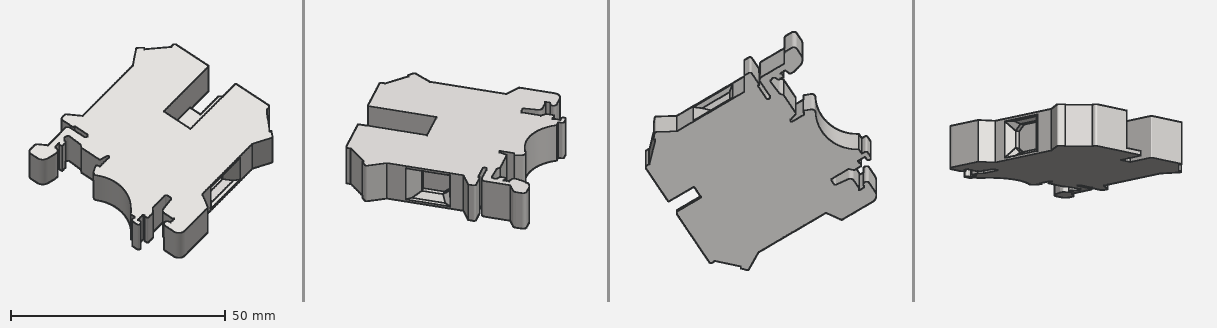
import cadquery as cq
import math

WIDTH = 42.8
HEIGHT = 46.0
THICKNESS = 10.0
CENTRE_X = WIDTH / 2
EDGE_ROUND = 0.25

BODY_HALF = 17.95
BODY_TOP = 34.9
BODY_BOTTOM = 16.35
SHOULDER_Y = 14.15
HEAD_HALF = 14.4
HEAD_ROUND = 0.55
HEAD_LIP_Y = 44.85
SLOPE_TOP = (14.3, 44.75)
SLOPE_LENGTH = 4.45
EAR_STEP = 0.3
EAR_HALF = 20.5
EAR_Y = 39.38
EAR_ROUND = 0.45
EAR_TIP_ROUND = 0.15

SLOT_LIP_X = 3.85
SLOT_LIP_Y = 12.37
SLOT_END_X = 8.0
SLOT_TOP = 12.85
SLOT_BOTTOM = 11.8
SLOT_ROUND = 0.45
LEG_X = 2.45
FOOT_BOTTOM = 0.2
RAIL_SEAT_Y = 6.5
GROOVE_DEPTH = 0.3
GROOVE_WIDTH = 0.28
LEFT_GROOVE_X = 4.05
RIGHT_GROOVE_X = 38.65
WEB_Y = 8.95
RIB_LEFT = 15.75
RIB_RIGHT = 32.8
TOE_LEFT = 31.2
TOE_RIGHT = 33.5
TOE_TOP = 1.15
TOE_STEP_Y = 1.35
TOE_ROUND = 0.55
RIGHT_FOOT_Y = 3.75
RIGHT_FOOT_ROUND = 1.85

ARCH_RADIUS = 9.65
ARCH_X = 21.5
ARCH_TOP = 6.25
ARCH_START = (16.2, 3.7)
ARCH_TIP = (15.85, 4.5, THICKNESS / 2)
ARCH_TIP_ROUND = 0.9

POCKET_WIDTH = 8.0
POCKET_LEFT = CENTRE_X - POCKET_WIDTH / 2
POCKET_RIGHT = CENTRE_X + POCKET_WIDTH / 2
POCKET_END_Y = 29.2
POCKET_FLOOR = 1.0
NOTCH_RIGHT = 20.5
NOTCH_END_Y = 38.95
NOTCH_ROUND = 0.6

MOUTH_Y = (19.5, 30.4)
MOUTH_WALL = 0.65
MOUTH_Z = (MOUTH_WALL, THICKNESS - MOUTH_WALL)
THROAT_Y = (20.42, 27.2)
THROAT_Z = (1.95, 8.75)
THROAT_CHAMFER_Y = 1.6
THROAT_CHAMFER_Z = 1.4
FUNNEL_Z = (-0.2, 9.95)
FUNNEL_CHAMFER_Y = 0.9
FUNNEL_DEPTH = 2.65
ENTRY_DEPTH = 3.8


def rounded_outline(corners):
    """Closed wire through (x, y, radius) corners; a radius of 0 keeps the corner sharp."""
    count = len(corners)
    wire = None
    for i, (x, y, radius) in enumerate(corners):
        before = cq.Vector(*corners[i - 1][:2])
        after = cq.Vector(*corners[(i + 1) % count][:2])
        corner = cq.Vector(x, y)
        to_before = (before - corner).normalized()
        to_after = (after - corner).normalized()
        half_angle = to_before.getAngle(to_after) / 2
        setback = radius / math.tan(half_angle)
        start = corner + to_before * setback
        if wire is None:
            wire = cq.Workplane("XY").moveTo(start.x, start.y)
        else:
            wire = wire.lineTo(start.x, start.y)
        if radius > 0:
            end = corner + to_after * setback
            bisector = (to_before + to_after).normalized()
            middle = corner + bisector * (radius / math.sin(half_angle) - radius)
            wire = wire.threePointArc((middle.x, middle.y), (end.x, end.y))
    return wire.close()


def flank(side):
    """Corners of one side of the upper body from the head down; side is -1 or +1."""
    slope_x, slope_y = SLOPE_TOP
    run = SLOPE_LENGTH
    half_outline = [
        (HEAD_HALF, HEIGHT, HEAD_ROUND),
        (HEAD_HALF, HEAD_LIP_Y, 0),
        (slope_x, slope_y, 0),
        (slope_x + run, slope_y - run, 0),
        (slope_x + run + EAR_STEP, slope_y - run + EAR_STEP, EAR_TIP_ROUND),
        (EAR_HALF, EAR_Y, EAR_ROUND),
        (BODY_HALF, BODY_TOP, 0),
        (BODY_HALF, BODY_BOTTOM, 0),
        (CENTRE_X, SHOULDER_Y, 0),
    ]
    return [(CENTRE_X + side * offset, y, radius) for offset, y, radius in half_outline]


def left_foot():
    """Corners of the springy left foot, from the shoulder round to the web."""
    return [
        (0, SLOT_LIP_Y, 0.5),
        (SLOT_LIP_X, SLOT_LIP_Y, EDGE_ROUND),
        (SLOT_LIP_X, SLOT_TOP, 0),
        (SLOT_END_X, SLOT_TOP, SLOT_ROUND),
        (SLOT_END_X, SLOT_BOTTOM, SLOT_ROUND),
        (LEG_X, SLOT_BOTTOM, 0.9),
        (LEG_X, 4.65, 0),
        (0, 3.15, 1.0),
        (0, FOOT_BOTTOM, 0.9),
        (4.35, FOOT_BOTTOM, 2.05),
        (5.4, 3.75, EDGE_ROUND),
        (5.4, 4.88, 0.45),
        (LEFT_GROOVE_X, 5.4, 0),
        (LEFT_GROOVE_X, RAIL_SEAT_Y + GROOVE_DEPTH, 0),
        (LEFT_GROOVE_X + GROOVE_WIDTH, RAIL_SEAT_Y, 0),
        (5.2, RAIL_SEAT_Y, 0),
        (5.2, 7.9, EDGE_ROUND),
        (3.9, 8.55, 0.55),
        (4.4, 9.8, 0.35),
        (8.3, 9.55, 1.0),
        (9.0, WEB_Y, 0),
    ]


def centre_rib():
    """Corners of the rib between the two rail feet; its lower side is hollowed by the arch."""
    return [
        (14.55, WEB_Y, EDGE_ROUND),
        (15.2, 11.1, EDGE_ROUND),
        (RIB_LEFT, 11.1, EDGE_ROUND),
        (RIB_LEFT, 7.5, 0),
        (14.75, 7.25, 0.3),
        (*ARCH_START, 0),
        (ARCH_X, TOE_STEP_Y, 0),
        (TOE_LEFT, TOE_STEP_Y, 0),
        (TOE_LEFT, 0, 0.45),
        (TOE_RIGHT, 0, TOE_ROUND),
        (TOE_RIGHT, TOE_TOP, TOE_ROUND),
        (32.3, TOE_TOP, 0),
        (32.3, 3.1, 0),
        (32.7, 3.1, 0),
        (32.7, 2.95, 0),
        (33.75, 2.95, EDGE_ROUND),
        (33.75, 5.0, 0),
        (RIB_RIGHT, 6.0, 0),
        (RIB_RIGHT, 10.9, 0.4),
    ]


def right_foot():
    """Corners of the rigid right foot, from the gap beside the rib to the outer side."""
    return [
        (34.55, 10.9, 0.35),
        (35.0, RAIL_SEAT_Y, 1.0),
        (RIGHT_GROOVE_X - GROOVE_WIDTH, RAIL_SEAT_Y, 0),
        (RIGHT_GROOVE_X, RAIL_SEAT_Y + GROOVE_DEPTH, 0),
        (RIGHT_GROOVE_X, 5.4, 0),
        (37.7, 5.1, 0.55),
        (37.35, RIGHT_FOOT_Y, 0.75),
        (WIDTH, RIGHT_FOOT_Y, RIGHT_FOOT_ROUND),
    ]


def housing_plate():
    corners = flank(-1) + left_foot() + centre_rib() + right_foot() + flank(1)[::-1]
    plate = rounded_outline(corners).extrude(THICKNESS)
    arch = (
        cq.Workplane("XY")
        .center(ARCH_X, ARCH_TOP - ARCH_RADIUS)
        .circle(ARCH_RADIUS)
        .extrude(THICKNESS)
    )
    plate = plate.cut(arch)
    return plate.edges("|Z").edges(cq.selectors.NearestToPointSelector(ARCH_TIP)).fillet(ARCH_TIP_ROUND)


def block(x_range, y_range, z_range):
    """Box spanning the given (low, high) ranges."""
    size = [high - low for low, high in (x_range, y_range, z_range)]
    corner = (x_range[0], y_range[0], z_range[0])
    return cq.Workplane("XY").box(*size, centered=False).translate(corner)


def round_head_edge(body, x, radius):
    """Round the upright edge where a wall at the given x meets the head face."""
    reach = 0.05
    near_edge = cq.selectors.BoxSelector(
        (x - reach, HEIGHT - reach, 0), (x + reach, HEIGHT + reach, THICKNESS)
    )
    return body.edges("|Z").edges(near_edge).fillet(radius)


def cut_marker_pocket(body):
    pocket = block((POCKET_LEFT, POCKET_RIGHT), (POCKET_END_Y, HEIGHT), (POCKET_FLOOR, THICKNESS))
    notch = block((POCKET_LEFT, NOTCH_RIGHT), (NOTCH_END_Y, HEIGHT), (0, THICKNESS))
    body = body.cut(pocket).cut(notch)
    body = round_head_edge(body, POCKET_LEFT, EDGE_ROUND)
    body = round_head_edge(body, POCKET_RIGHT, EDGE_ROUND)
    return round_head_edge(body, NOTCH_RIGHT, NOTCH_ROUND)


def wire_entry():
    """Left wire entry: a tapered funnel trimmed to the mouth, then a straight throat."""
    face_x = CENTRE_X - BODY_HALF
    funnel_start = [
        (MOUTH_Y[1], FUNNEL_Z[0]),
        (MOUTH_Y[1], FUNNEL_Z[1]),
        (MOUTH_Y[0] + FUNNEL_CHAMFER_Y, FUNNEL_Z[1]),
        (MOUTH_Y[0], MOUTH_Z[1]),
        (MOUTH_Y[0], MOUTH_Z[0]),
        (MOUTH_Y[0] + FUNNEL_CHAMFER_Y, FUNNEL_Z[0]),
    ]
    throat_outline = [
        (THROAT_Y[1], THROAT_Z[0]),
        (THROAT_Y[1], THROAT_Z[1]),
        (THROAT_Y[0] + THROAT_CHAMFER_Y, THROAT_Z[1]),
        (THROAT_Y[0], THROAT_Z[1] - THROAT_CHAMFER_Z),
        (THROAT_Y[0], THROAT_Z[0] + THROAT_CHAMFER_Z),
        (THROAT_Y[0] + THROAT_CHAMFER_Y, THROAT_Z[0]),
    ]
    funnel = (
        cq.Workplane("YZ", origin=(face_x, 0, 0))
        .polyline(funnel_start)
        .close()
        .workplane(offset=FUNNEL_DEPTH)
        .polyline(throat_outline)
        .close()
        .loft(ruled=True)
    )
    mouth = block((face_x, face_x + FUNNEL_DEPTH), MOUTH_Y, MOUTH_Z)
    throat = (
        cq.Workplane("YZ", origin=(face_x, 0, 0))
        .polyline(throat_outline)
        .close()
        .extrude(ENTRY_DEPTH)
    )
    return funnel.intersect(mouth).union(throat)


def cut_wire_entries(body):
    left_entry = wire_entry()
    right_entry = left_entry.mirror("YZ", (CENTRE_X, 0, 0))
    return body.cut(left_entry).cut(right_entry)


result = cut_wire_entries(cut_marker_pocket(housing_plate()))